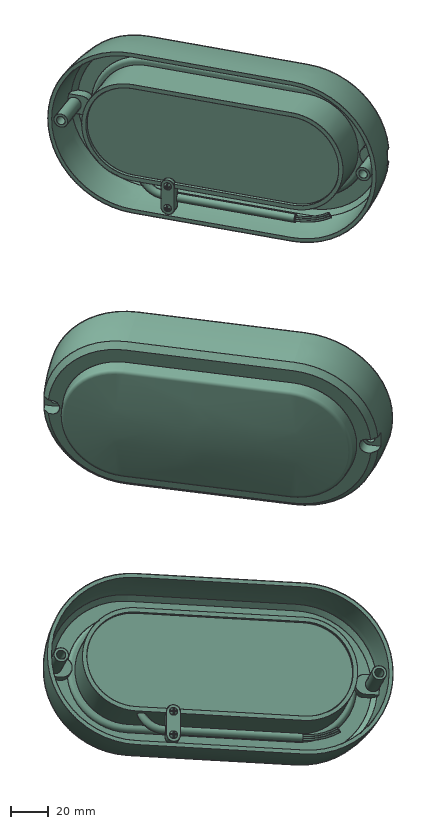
import cadquery as cq
import math

LENGTH = 185.0
RIM_RADIUS = 47.5
END_X = LENGTH / 2 - RIM_RADIUS

SHOULDER_Y = 25.2
FRONT_Y = 28.5
SHOULDER_RADIUS = 45.3
FRONT_RADIUS = 42.2
RIM_WALL = 2.2
FLOOR_Y = 25.5
INNER_SHOULDER_Y = 23.0
INNER_SHOULDER_RADIUS = 43.3
FLOOR_RADIUS = 40.5

LENS_BASE_RADIUS = 34.5
LENS_SIDE_RADIUS = 33.7
LENS_SIDE_Y = 34.6
DOME_RADIUS = 31.8
DOME_EDGE_Y = 36.6
APEX_Y = 40.0
LENS_CORNER_BULGE = 0.4
CROWN_STATIONS = (-0.75, -0.5, -0.25, 0, 0.25, 0.5, 0.75)

FLANGE_RADIUS = 32.5
FLANGE_ROUND = 2.2
TUB_RADIUS = 28.7
TUB_RIM_Y = 0.5
RECESS_RADIUS = 26.3
RECESS_DEPTH = 2.0

BOSS_X = 85.1
BOSS_RADIUS = 3.9
SCREW_HOLE_RADIUS = 2.4
PAD_Y = 20.0
PAD_HALF_WIDTH = 5.5
PAD_CENTER_X = 81.2
PAD_OUTER_X = 89.2
NOTCH_Y = 21.0
NOTCH_HALF_WIDTH = 4.3

CLAMP_X = -25.0
CLAMP_RADIUS = 3.7
CLAMP_DEPTH = 4.8
CLAMP_SCREW_Z = (-28.0, -40.9)
HEAD_RADIUS = 2.13
HEAD_HEIGHT = 1.54
CROSS_LENGTH = 3.3
CROSS_WIDTH = 0.65
CROSS_DEPTH = 1.0

CABLE_RADIUS = 2.2
CABLE_Y = 5.5
CABLE_Z = -36.6
CABLE_BEND_X = -28.7
CABLE_BEND_RADIUS = 13.9
CABLE_BEND_ANGLE = 75
WIRE_RADIUS = 0.52
WIRE_PITCH = 1.1
WIRE_ANGLE = 32
WIRE_EMBED = 1.0


def section(x):
    """Plane across X whose local axes are (Z, Y)."""
    return cq.Workplane(cq.Plane(origin=(x, 0, 0), xDir=(0, 0, 1), normal=(-1, 0, 0)))


def facing_front(y):
    """Plane at height y whose local axes are (X, Z); extruding goes toward -Y."""
    return cq.Workplane("XZ", origin=(0, y, 0))


def stadium_body(profile):
    """Carry a closed (radius, Y) profile round the stadium: two revolved ends, two straights."""
    end = profile(section(END_X)).revolve(180, (0, 0), (0, 1))
    straight = profile(section(-END_X)).extrude(-2 * END_X)
    ends = end.union(end.mirror("YZ"))
    return ends.union(straight).union(straight.mirror("XY"))


def stadium_prism(radius, start_y, end_y):
    """Straight-sided stadium block between two heights."""
    length = 2 * (END_X + radius)
    return facing_front(end_y).slot2D(length, 2 * radius).extrude(end_y - start_y)


def side_bulge(start_radius, end_radius, end_y):
    """Middle point of a wall arc that starts square to the rim at Y = 0.

    Such a shallow arc has moved in by a quarter of its total at half its height.
    """
    return (start_radius - (start_radius - end_radius) / 4, end_y / 2)


def housing_profile(plane):
    """Thin outer wall with a bevelled shoulder, closed in front by a flat floor."""
    inner_rim_radius = RIM_RADIUS - RIM_WALL
    inner_shoulder = (INNER_SHOULDER_RADIUS, INNER_SHOULDER_Y)
    return (
        plane.moveTo(RIM_RADIUS, 0)
        .threePointArc(side_bulge(RIM_RADIUS, SHOULDER_RADIUS, SHOULDER_Y), (SHOULDER_RADIUS, SHOULDER_Y))
        .lineTo(FRONT_RADIUS, FRONT_Y)
        .lineTo(0, FRONT_Y)
        .lineTo(0, FLOOR_Y)
        .lineTo(FLOOR_RADIUS, FLOOR_Y)
        .lineTo(*inner_shoulder)
        .threePointArc(side_bulge(inner_rim_radius, *inner_shoulder), (inner_rim_radius, 0))
        .close()
    )


def lens_profile(plane):
    """Tapered lens side with a rounded corner, flat in front."""
    corner = (
        (LENS_SIDE_RADIUS + DOME_RADIUS) / 2 + LENS_CORNER_BULGE,
        (LENS_SIDE_Y + DOME_EDGE_Y) / 2 + LENS_CORNER_BULGE,
    )
    return (
        plane.moveTo(0, FLOOR_Y)
        .lineTo(LENS_BASE_RADIUS, FLOOR_Y)
        .lineTo(LENS_BASE_RADIUS, FRONT_Y)
        .lineTo(LENS_SIDE_RADIUS, LENS_SIDE_Y)
        .threePointArc(corner, (DOME_RADIUS, DOME_EDGE_Y))
        .lineTo(0, DOME_EDGE_Y)
        .close()
    )


def crown_point(x_fraction, z_fraction):
    """Point of the pillow, placed by fractions of its half length and of its local half width."""
    x = x_fraction * (END_X + DOME_RADIUS)
    into_end = max(abs(x) - END_X, 0)
    half_width = math.sqrt(DOME_RADIUS**2 - into_end**2)
    rise = (APEX_Y - DOME_EDGE_Y) * (1 - x_fraction**2) * (1 - z_fraction**2)
    return cq.Vector(x, DOME_EDGE_Y + rise, z_fraction * half_width)


def lens_body():
    """Lens whose flat front is replaced by a shallow pillow surface on the same edge."""
    flat_lens = stadium_body(lens_profile)
    flat_front = flat_lens.faces(">Y").val()
    crown = [
        crown_point(x_fraction, z_fraction)
        for x_fraction in CROWN_STATIONS
        for z_fraction in CROWN_STATIONS
    ]
    pillow = cq.Face.makeNSidedSurface(flat_front.outerWire().Edges(), crown)
    other_faces = flat_lens.faces("not >Y").vals()
    return cq.Workplane(cq.Solid.makeSolid(cq.Shell.makeShell(other_faces + [pillow])))


def flange_profile(plane):
    """Low disc with a rounded rim edge."""
    flange_y = FLOOR_Y - FLANGE_ROUND
    flat_radius = FLANGE_RADIUS - FLANGE_ROUND
    round_middle = FLANGE_ROUND * math.sqrt(0.5)
    return (
        plane.moveTo(0, FLOOR_Y)
        .lineTo(FLANGE_RADIUS, FLOOR_Y)
        .threePointArc((flat_radius + round_middle, FLOOR_Y - round_middle), (flat_radius, flange_y))
        .lineTo(0, flange_y)
        .close()
    )


def tub():
    """Stadium block with a shallow recess, standing on a round-edged flange."""
    wall = stadium_prism(TUB_RADIUS, TUB_RIM_Y, FLOOR_Y)
    recess = stadium_prism(RECESS_RADIUS, TUB_RIM_Y, TUB_RIM_Y + RECESS_DEPTH)
    return stadium_body(flange_profile).union(wall.cut(recess))


def boss():
    """Right-hand screw boss on its round-ended pad."""
    pad_depth = FLOOR_Y - PAD_Y
    pad_length = PAD_OUTER_X - PAD_CENTER_X
    pad_end = facing_front(FLOOR_Y).center(PAD_CENTER_X, 0).circle(PAD_HALF_WIDTH).extrude(pad_depth)
    pad_block = (
        facing_front(FLOOR_Y)
        .center(PAD_CENTER_X + pad_length / 2, 0)
        .rect(pad_length, 2 * PAD_HALF_WIDTH)
        .extrude(pad_depth)
    )
    tube = facing_front(FLOOR_Y).center(BOSS_X, 0).circle(BOSS_RADIUS).extrude(FLOOR_Y)
    return pad_end.union(pad_block).union(tube)


def boss_cut():
    """Screw hole and the open-sided notch for the screw head, right-hand end."""
    notch_depth = FRONT_Y - NOTCH_Y
    notch_length = LENGTH / 2 - BOSS_X
    hole = facing_front(FRONT_Y).center(BOSS_X, 0).circle(SCREW_HOLE_RADIUS).extrude(FRONT_Y)
    notch_end = facing_front(FRONT_Y).center(BOSS_X, 0).circle(NOTCH_HALF_WIDTH).extrude(notch_depth)
    notch = (
        facing_front(FRONT_Y)
        .center(BOSS_X + notch_length / 2, 0)
        .rect(notch_length, 2 * NOTCH_HALF_WIDTH)
        .extrude(notch_depth)
    )
    return hole.union(notch_end).union(notch)


def both_ends(shape):
    return shape.union(shape.mirror("YZ"))


def screw_head(z):
    """Domed head with a cross recess."""
    sphere_radius = (HEAD_RADIUS**2 + HEAD_HEIGHT**2) / (2 * HEAD_HEIGHT)
    ball = cq.Workplane("XY").sphere(sphere_radius).translate((0, sphere_radius - HEAD_HEIGHT, 0))
    head = ball.intersect(facing_front(0).circle(HEAD_RADIUS).extrude(HEAD_HEIGHT))
    bottom = facing_front(CROSS_DEPTH - HEAD_HEIGHT)
    for length, width in ((CROSS_LENGTH, CROSS_WIDTH), (CROSS_WIDTH, CROSS_LENGTH)):
        head = head.cut(bottom.rect(length, width).extrude(CROSS_DEPTH))
    return head.translate((CLAMP_X, 0, z))


def clamp():
    """Round-ended block with two screw heads, bridging the tub rim and the cable."""
    upper_z, lower_z = CLAMP_SCREW_Z
    body = (
        facing_front(CLAMP_DEPTH)
        .center(CLAMP_X, (upper_z + lower_z) / 2)
        .slot2D(upper_z - lower_z + 2 * CLAMP_RADIUS, 2 * CLAMP_RADIUS, 90)
        .extrude(CLAMP_DEPTH)
    )
    for z in CLAMP_SCREW_Z:
        body = body.union(screw_head(z))
    return body


def cable():
    """Straight run that bends up into the side of the tub."""
    start = cq.Workplane("YZ", origin=(CABLE_BEND_X, CABLE_Y, CABLE_Z))
    straight = start.circle(CABLE_RADIUS).extrude(END_X - CABLE_BEND_X)
    bend_center = (0, CABLE_BEND_RADIUS)
    bend_axis_end = (1, CABLE_BEND_RADIUS)
    bend = start.circle(CABLE_RADIUS).revolve(CABLE_BEND_ANGLE, bend_center, bend_axis_end)
    return straight.union(bend)


def wire(offset):
    """Bare wire that follows the rounded end of the housing."""
    z = CABLE_Z + offset
    tail = (
        cq.Workplane("YZ", origin=(END_X - WIRE_EMBED, CABLE_Y, z))
        .circle(WIRE_RADIUS)
        .extrude(WIRE_EMBED)
    )
    curve = (
        cq.Workplane("YZ", origin=(END_X, CABLE_Y, z))
        .circle(WIRE_RADIUS)
        .revolve(WIRE_ANGLE, (0, -z), (-1, -z))
    )
    return tail.union(curve)


housing = stadium_body(housing_profile)
lens = lens_body()
lamp = housing.union(lens).union(tub())
lamp = lamp.union(both_ends(boss())).cut(both_ends(boss_cut()))
result = lamp.union(clamp()).union(cable())
for step in (-1, 0, 1):
    result = result.union(wire(step * WIRE_PITCH))